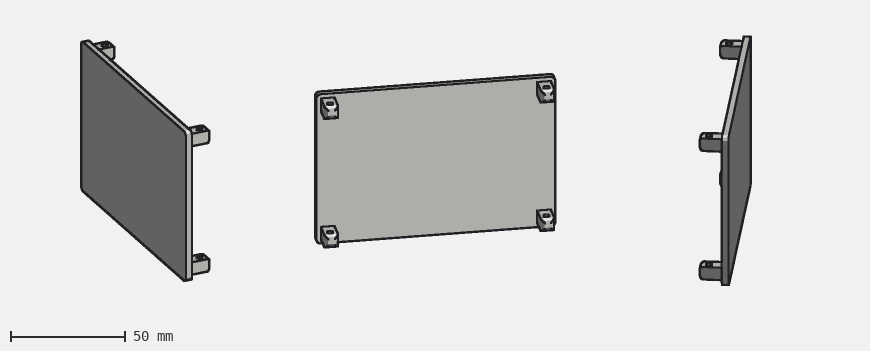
import cadquery as cq

plate_width = 106.0
plate_height = 72.0
plate_thickness = 3.0
corner_radius = 2.0

total_depth = 13.0
post_side = 6.0
post_inset = 2.0
post_tip_radius = 2.0

hole_diameter = 2.6
hole_to_tip = 4.0

post_x = plate_width / 2 - post_inset - post_side / 2
post_z = plate_height / 2 - post_inset - post_side / 2


def make_plate():
    """Flat plate with rounded corners."""
    return (
        cq.Workplane("XY")
        .box(plate_width, plate_thickness, plate_height, centered=(True, False, True))
        .edges("|Y")
        .fillet(corner_radius)
    )


def make_post(x, z):
    """Post with a rounded tip and a cross hole, rooted at the plate's front face."""
    post = (
        cq.Workplane("XY")
        .box(post_side, total_depth, post_side, centered=(True, False, True))
        .faces(">Y")
        .edges()
        .fillet(post_tip_radius)
    )
    hole = (
        cq.Workplane("XY")
        .center(0, total_depth - hole_to_tip)
        .circle(hole_diameter / 2)
        .extrude(post_side / 2, both=True)
    )
    return post.cut(hole).translate((x, 0, z))


result = make_plate()
for x in (-post_x, post_x):
    for z in (-post_z, post_z):
        result = result.union(make_post(x, z))